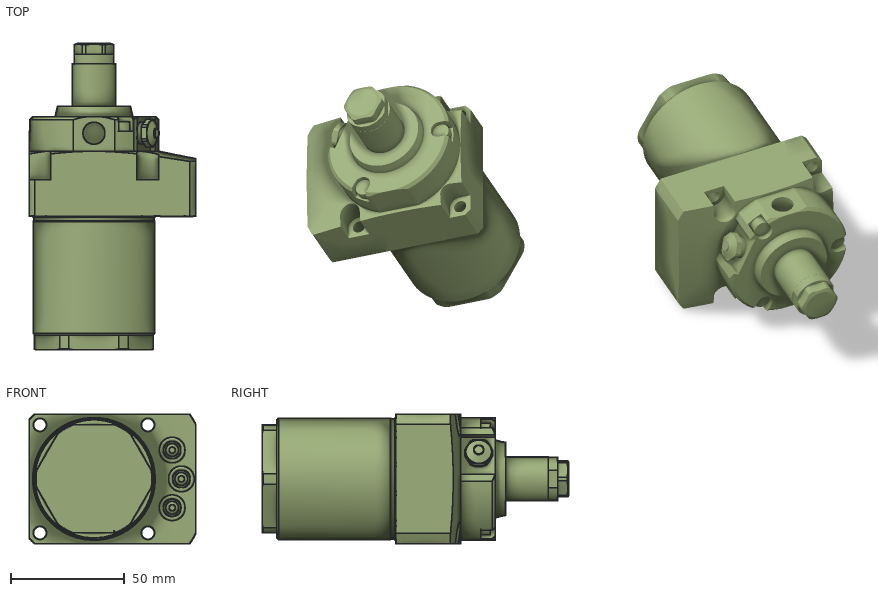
import cadquery as cq
import math


total_length = 135.1
total_width = 73.5
flange_height = 57.1
half_height = flange_height / 2
far_side = total_width - half_height

cartridge_diameter = 53.6
cartridge_radius = cartridge_diameter / 2
cartridge_end_chamfer = 0.8
collar_radius = 27.0
collar_length = 2.2
collar_chamfer = 0.3
cartridge_length = 52.4
cap_end = 58.9
cap_half_flats = 23.8
cap_corner_radius = 26.2
cap_chamfer_radial = 0.7
cap_chamfer_axial = 0.4

flange_thickness = 28.5
cone_start_radius = 28.6
cone_slope = 0.2
flange_corner_radius = 50.9
flange_chamfer = 2.4
bolt_offset = 23.8
bolt_hole_diameter = 5.7
bolt_seat = 16.1
bolt_recess_radius = 4.9

seal_centers = [(34.5, 12.7), (38.5, 0.0), (34.5, -12.7)]
seal_ring_radius = 4.7
seal_section_radius = 1.0
seal_protrusion = 0.3
seal_recess_depth = 1.4
nozzle_base_radius = 2.8
nozzle_tip_radius = 1.4

head_radius = 28.5
head_end = 43.8
head_chamfer = 1.4
head_half_flats = 27.0
port_position = 36.5
port_radius = 4.9
port_depth = 10.8

screw_angles = [60, 180, 300]
screw_circle_radius = 24.0
screw_radius = 3.8
screw_seat = 37.4
screw_head_height = 4.0

plug_angle = 25
plug_flat_distance = 25.4
plug_slot_width = 19.2
plug_slot_floor = 22.8
plug_shank_radius = port_radius
plug_hex_start = 25.7
plug_hex_end = 28.4
plug_hex_half_flats = 5.7
plug_hex_corner_radius = 6.2
plug_cone_end = 30.0
plug_pin_end = 30.7
plug_pin_radius = 2.2

boss_base_radius = 17.2
boss_top_radius = 16.1
boss_end = 48.4
stem_diameter = 19.3
stem_radius = stem_diameter / 2
neck_radius = 9.6
stem_shoulder = 67.0
stem_end = 71.2
stem_half_flats = 8.8
tip_end = total_length - cap_end
tip_half_flats = 8.0
tip_corner_radius = 8.8
tip_chamfer_radial = 1.9
tip_chamfer_axial = 0.8


def turned(profile):
    """Solid of revolution about Y from (radius, Y) points; the axis closes the profile."""
    first_y = profile[0][1]
    last_y = profile[-1][1]
    points = [(0, first_y)] + profile + [(0, last_y)]
    return cq.Workplane("XY").polyline(points).close().revolve(360, (0, 0), (0, 1))


def across(y):
    """Sketch plane at the given Y whose local axes are X and Z; negative extrusions go to +Y."""
    return cq.Workplane("XZ", origin=(0, y, 0))


def box(x_range, y_range, z_range):
    ranges = (x_range, y_range, z_range)
    sizes = [high - low for low, high in ranges]
    lows = [low for low, high in ranges]
    return cq.Workplane("XY").box(*sizes, centered=False).translate(tuple(lows))


def hex_corner_diameter(half_flats):
    return 2 * half_flats / math.cos(math.pi / 6)


def hex_bar(half_flats, start, end):
    """Hexagonal bar along Y with two of its flats facing +Z and -Z."""
    return across(start).polygon(6, hex_corner_diameter(half_flats)).extrude(start - end)


def build_cartridge():
    radius = cartridge_radius
    neck = radius - collar_chamfer
    body = turned([
        (collar_radius, 0),
        (collar_radius, -collar_chamfer),
        (neck, -2 * collar_chamfer),
        (neck, -collar_length),
        (radius, -collar_length - collar_chamfer),
        (radius, cartridge_end_chamfer - cartridge_length),
        (radius - cartridge_end_chamfer, -cartridge_length),
    ])
    blank = turned([
        (cap_corner_radius, -cartridge_length),
        (cap_corner_radius, cap_chamfer_axial - cap_end),
        (cap_corner_radius - cap_chamfer_radial, -cap_end),
    ])
    cap = hex_bar(cap_half_flats, -cap_end, -cartridge_length).intersect(blank)
    return body.union(cap)


def build_flange():
    rim_y = flange_thickness - cone_slope * (flange_corner_radius - cone_start_radius)
    blank = turned([
        (flange_corner_radius, 0),
        (flange_corner_radius, rim_y),
        (cone_start_radius, flange_thickness),
    ])
    block = box((-half_height, far_side), (0, flange_thickness), (-half_height, half_height))
    flange = block.edges("<X and |Y").chamfer(flange_chamfer).intersect(blank)

    bolts = [(x, z) for x in (-bolt_offset, bolt_offset) for z in (-bolt_offset, bolt_offset)]
    holes = across(0).pushPoints(bolts).circle(bolt_hole_diameter / 2).extrude(-flange_thickness)
    flange = flange.cut(holes)
    for x, z in bolts:
        flange = flange.cut(bolt_recess(x, z))
    return flange


def bolt_recess(x, z):
    """Recess behind a bolt hole: a U slot to the nearest Z side, opened to -X on that side."""
    inner_end = bolt_offset - bolt_recess_radius
    depth = (bolt_seat, flange_thickness)
    z_range = sorted((z, math.copysign(half_height, z)))
    slot = box((x - bolt_recess_radius, x + bolt_recess_radius), depth, z_range)
    round_end = (
        across(bolt_seat)
        .center(x, z)
        .circle(bolt_recess_radius)
        .extrude(bolt_seat - flange_thickness)
    )
    recess = slot.union(round_end)
    if x < 0:
        z_range = sorted((math.copysign(inner_end, z), math.copysign(half_height, z)))
        recess = recess.union(box((-half_height, x), depth, z_range))
    return recess


def add_seal(body, x, z):
    """Round recess holding a sealing ring around a tapered nozzle."""
    recess_radius = seal_ring_radius + seal_section_radius
    recess = across(0).center(x, z).circle(recess_radius).extrude(-seal_recess_depth)
    ring_y = seal_section_radius - seal_protrusion
    ring = (
        cq.Workplane("XY")
        .center(seal_ring_radius, ring_y)
        .circle(seal_section_radius)
        .revolve(360, (-seal_ring_radius, 0), (-seal_ring_radius, 1))
        .translate((x, 0, z))
    )
    nozzle = turned([(nozzle_tip_radius, 0), (nozzle_base_radius, seal_recess_depth)])
    return body.cut(recess).union(ring).union(nozzle.translate((x, 0, z)))


def build_head():
    head = turned([
        (head_radius, flange_thickness),
        (head_radius, head_end - head_chamfer),
        (head_radius - head_chamfer, head_end),
    ])
    side = (-head_radius, head_radius)
    length = (flange_thickness, head_end)
    head = head.intersect(box(side, length, (-head_half_flats, head_half_flats)))
    port = (
        cq.Workplane("XY", origin=(0, port_position, head_half_flats))
        .circle(port_radius)
        .extrude(-port_depth)
    )
    head = head.cut(port)
    for angle in screw_angles:
        head = add_cap_screw(head, angle)
    return add_plug(head)


def screw_cylinder(height):
    """Cylinder of the screw head's radius standing on the screw seat."""
    return across(screw_seat).center(screw_circle_radius, 0).circle(screw_radius).extrude(-height)


def add_cap_screw(head, angle):
    """Open slot in the rim with a round screw head on its floor."""
    pocket_end = screw_cylinder(head_end - screw_seat)
    opening = box((screw_circle_radius, head_radius), (screw_seat, head_end), (-screw_radius, screw_radius))
    screw = screw_cylinder(screw_head_height)
    return head.cut(tilted(pocket_end.union(opening), angle)).union(tilted(screw, angle))


def tilted(shape, angle):
    """Turns a shape about Y from +X towards +Z."""
    return shape.rotate((0, 0, 0), (0, 1, 0), -angle)


def add_plug(head):
    """Flat with a slot across the head, and a hexagonal plug standing on the slot's floor."""
    length = (flange_thickness, head_end)
    flat = box((plug_flat_distance, head_radius), length, (-head_radius, head_radius))
    slot = box((plug_slot_floor, head_radius), length, (-plug_slot_width / 2, plug_slot_width / 2))
    head = head.cut(tilted(flat.union(slot), plug_angle))

    shank = turned([(plug_shank_radius, plug_slot_floor), (plug_shank_radius, plug_hex_start)])
    blank = turned([(plug_hex_corner_radius, plug_hex_start), (plug_hex_corner_radius, plug_hex_end)])
    hexagon = hex_bar(plug_hex_half_flats, plug_hex_start, plug_hex_end).intersect(blank)
    cone = turned([(plug_hex_half_flats, plug_hex_end), (plug_pin_radius, plug_cone_end)])
    pin = turned([(plug_pin_radius, plug_cone_end), (plug_pin_radius, plug_pin_end)])
    plug = shank.union(hexagon).union(cone).union(pin)
    plug = plug.rotate((0, 0, 0), (0, 0, 1), -90).translate((0, port_position, 0))
    return head.union(tilted(plug, plug_angle))


def build_stem():
    boss = turned([(boss_base_radius, head_end), (boss_top_radius, boss_end)])
    shaft = turned([(stem_radius, boss_end), (stem_radius, stem_shoulder)])
    neck = turned([(neck_radius, stem_shoulder), (neck_radius, stem_end)])
    flats = box(
        (-stem_half_flats, stem_half_flats),
        (stem_shoulder, stem_end),
        (-neck_radius, neck_radius),
    )
    neck = neck.intersect(flats)
    blank = turned([
        (tip_corner_radius, stem_end),
        (tip_corner_radius, tip_end - tip_chamfer_axial),
        (tip_corner_radius - tip_chamfer_radial, tip_end),
    ])
    tip = hex_bar(tip_half_flats, stem_end, tip_end).intersect(blank)
    return boss.union(shaft).union(neck).union(tip)


flange = build_flange()
for seal_x, seal_z in seal_centers:
    flange = add_seal(flange, seal_x, seal_z)

result = flange.union(build_cartridge()).union(build_head()).union(build_stem())